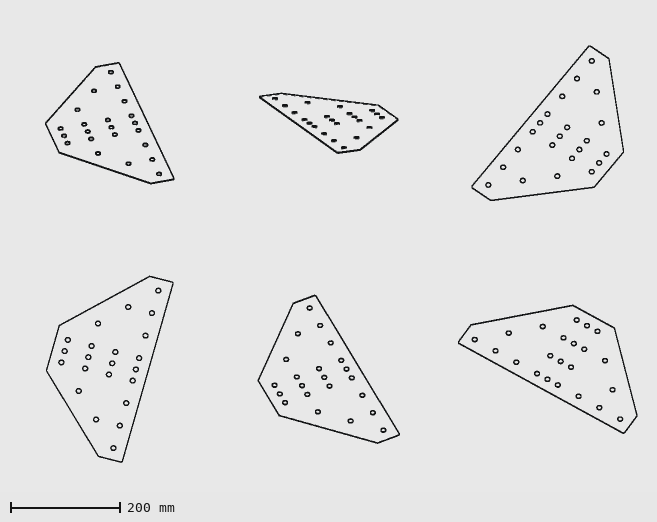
import cadquery as cq

pitch = 45.0
thickness = 2.0
hole_diameter = 9.0
corner_chamfer = 2.0

half_pitch = pitch / 2
half_length = 4 * pitch
half_foot = pitch
top_edge = 2 * pitch
bottom_edge = -top_edge
shoulder = top_edge - pitch

pair_steps_by_row = [
    [0, 1, 2, 3],
    [0, 2],
    [0, 1],
    [0],
]


def make_plate():
    """Plate with a straight top edge, 45 degree flanks and a narrow foot."""
    outline = [
        (-half_length, top_edge),
        (half_length, top_edge),
        (half_length, shoulder),
        (half_foot, bottom_edge),
        (-half_foot, bottom_edge),
        (-half_length, shoulder),
    ]
    plate = cq.Workplane("XY").polyline(outline).close().extrude(thickness)
    return plate.edges("|Z and >Y").chamfer(corner_chamfer)


def hole_centres():
    """Each row has a hole on the centre line and mirrored pairs beside it."""
    centres = []
    for row, pair_steps in enumerate(pair_steps_by_row):
        y = top_edge - half_pitch - row * pitch
        centres.append((0, y))
        for step in pair_steps:
            x = half_pitch + step * pitch
            centres.append((-x, y))
            centres.append((x, y))
    return centres


def drill_holes(plate):
    """Drill every hole straight through the plate."""
    top_face = plate.faces(">Z").workplane(origin=(0, 0, 0))
    return top_face.pushPoints(hole_centres()).hole(hole_diameter)


result = drill_holes(make_plate())